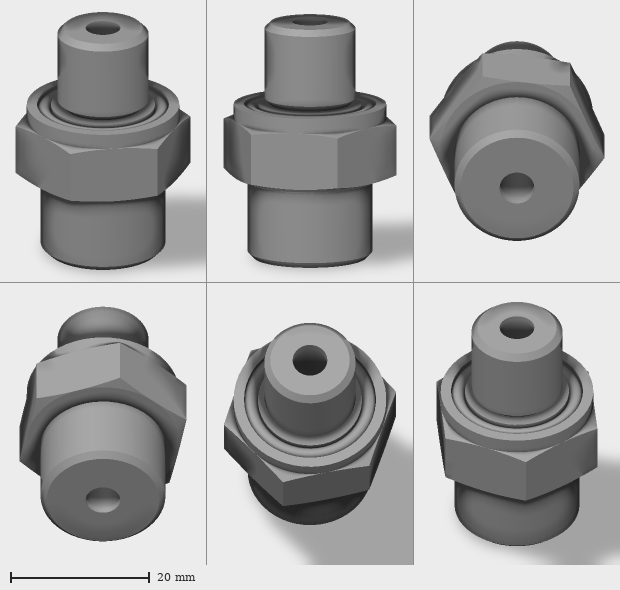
import cadquery as cq
import math

total_height = 34.5
stud_length = 12.0
lower_diameter = 18.0
upper_diameter = 13.15
bore_diameter = 5.0
end_chamfer = 0.85

across_flats = 22.0
collar_height = 2.2
corner_drop = 0.5

ring_outer_diameter = 19.0
ring_inner_diameter = 15.0
ring_recess = 0.15

across_corners = across_flats / math.cos(math.pi / 6)
hex_bottom = stud_length
collar_top = total_height - stud_length
hex_top = collar_top - collar_height
hex_height = hex_top - hex_bottom
ring_radius = (ring_outer_diameter - ring_inner_diameter) / 4
ring_center_radius = (ring_outer_diameter + ring_inner_diameter) / 4
ring_center_z = collar_top - ring_recess - ring_radius


def cylinder(diameter, bottom, height):
    return cq.Workplane("XY").workplane(offset=bottom).circle(diameter / 2).extrude(height)


def chamfered_stud(diameter, bottom):
    """Threaded end, drawn at its major diameter and chamfered at both ends."""
    return cylinder(diameter, bottom, stud_length).edges().chamfer(end_chamfer)


def beveled_hexagon():
    """Hexagon with corners on the Y axis, trimmed by a cone at each end."""
    hexagon = (
        cq.Workplane("XY")
        .workplane(offset=hex_bottom)
        .polygon(6, across_corners)
        .extrude(hex_height)
        .rotate((0, 0, 0), (0, 0, 1), 30)
    )
    flat_radius = across_flats / 2
    corner_radius = across_corners / 2
    envelope = (
        cq.Workplane("XZ")
        .moveTo(0, hex_bottom)
        .lineTo(flat_radius, hex_bottom)
        .lineTo(corner_radius, hex_bottom + corner_drop)
        .lineTo(corner_radius, hex_top - corner_drop)
        .lineTo(flat_radius, hex_top)
        .lineTo(0, hex_top)
        .close()
        .revolve(360, (0, 0, 0), (0, 1, 0))
    )
    return hexagon.intersect(envelope)


def ring_groove():
    """Annular groove in the collar, with its floor rounded up as the seated sealing ring."""
    groove = (
        cq.Workplane("XY")
        .workplane(offset=ring_center_z)
        .circle(ring_outer_diameter / 2)
        .circle(ring_inner_diameter / 2)
        .extrude(collar_top - ring_center_z)
    )
    ring = (
        cq.Workplane("XZ")
        .center(ring_center_radius, ring_center_z)
        .circle(ring_radius)
        .revolve(360, (-ring_center_radius, 0, 0), (-ring_center_radius, 1, 0))
    )
    return groove.cut(ring)


collar = cylinder(across_flats, hex_top, collar_height)
body = chamfered_stud(lower_diameter, 0)
body = body.union(beveled_hexagon())
body = body.union(collar)
body = body.cut(ring_groove())
body = body.union(chamfered_stud(upper_diameter, collar_top))
result = body.cut(cylinder(bore_diameter, 0, total_height))